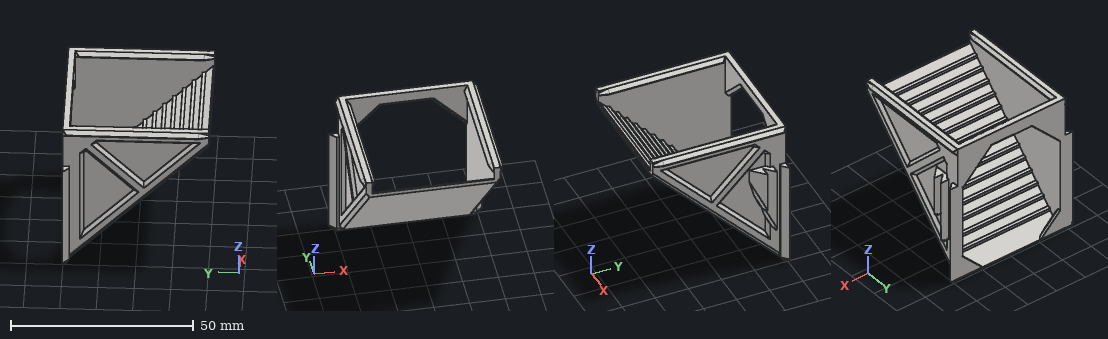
import cadquery as cq
import math


body_half_width = 18.8
wall_thickness = 1.8
inner_half_width = body_half_width - wall_thickness
depth = 40.18
height = 45.5
front_height = 5.06
back_thickness = 1.9
tip_setback = 1.0
tip_chamfer_drop = 0.8
slope_edge_chamfer = 1.0
bevel_angle = 45
overshoot = 2.0

slope = (height - front_height) / (depth - tip_setback)
slope_angle = math.atan(slope)
floor_thickness = 1.06
lip_depth = 3.9

rib_count = 13
rib_pitch = 2.695
rib_front = depth - 2.41
rib_width = 0.99
rib_tilt = math.radians(10.7)

ridge_height = 1.1
ridge_tip_height = 0.43
ridge_taper_length = 2.88

fin_half_width = 21.48
fin_top = 12.6
fin_bevel_start = 44.05
fin_ridge_half_width = 19.3

window_top = 3.05
window_top_half_width = 7.45
window_bottom_half_width = 13.1
window_bevel = 1.0

pocket_depth = 1.0
pocket_top = 3.36
pocket_back = 4.8
pocket_corner_sum = 12.75
pocket_slope_margin = 2.87
strut_upper_offset = -2.98
strut_lower_offset = -0.08

tooth_tip = 21.63
tooth_root = body_half_width - pocket_depth
tooth_backs = (3.9, 6.83)
tooth_bottoms = (33.1, 25.85)
tooth_tip_rise = 1.05
tooth_front_normal = (0.35, -0.9, -0.25)
tooth_bottom_normal = (0, -0.58, -0.81)
tooth_nose_x = 19.4
tooth_nose_setback = 0.7
tooth_nose_rise = 0.5
tooth_nose_normal = (0.04, -0.915, -0.4)


def slope_depth(front):
    """Depth of the underside of the floor at a distance in front of the back."""
    return front_height + slope * (depth - front)


def floor_depth(front):
    """Depth of the upper face of the floor."""
    return slope_depth(front) - floor_thickness / math.cos(slope_angle)


def side_prism(points, x_start, x_end):
    """Prism along X from a (distance in front of the back, depth) outline."""
    outline = [(-front, -down) for front, down in points]
    return cq.Workplane("YZ", origin=(x_start, 0, 0)).polyline(outline).close().extrude(x_end - x_start)


def plan_prism(points, top, bottom):
    """Upright prism from an (x, y) outline between two depths."""
    return cq.Workplane("XY", origin=(0, 0, -bottom)).polyline(points).close().extrude(bottom - top)


def trim(solid, point, normal):
    """Remove what lies beyond a plane on the side its normal points to."""
    reach = 2 * height
    plane = cq.Plane(origin=point, normal=normal)
    return solid.cut(cq.Workplane(plane).rect(2 * reach, 2 * reach).extrude(reach))


def cross(a, b):
    """Cross product of two vectors."""
    return (
        a[1] * b[2] - a[2] * b[1],
        a[2] * b[0] - a[0] * b[2],
        a[0] * b[1] - a[1] * b[0],
    )


def make_body():
    """Solid wedge with both edges of its sloping underside chamfered."""
    outline = [
        (0, 0),
        (depth, 0),
        (depth, front_height),
        (tip_setback, height),
        (0, height - tip_chamfer_drop),
    ]
    body = side_prism(outline, -body_half_width, body_half_width)
    for side in (-1, 1):
        edge_middle = (
            side * body_half_width,
            -(depth + tip_setback) / 2,
            -(front_height + height) / 2,
        )
        body = body.edges(cq.selectors.NearestToPointSelector(edge_middle)).chamfer(slope_edge_chamfer)
    return body


def make_back_plate():
    """Plate behind the body whose beveled edges stand out as fins and whose lower end tapers."""
    bevel_foot = fin_half_width - back_thickness
    outline = [
        (-fin_half_width, 0),
        (fin_half_width, 0),
        (bevel_foot, -back_thickness),
        (-bevel_foot, -back_thickness),
    ]
    plate = plan_prism(outline, fin_top, height)
    taper = height - fin_bevel_start
    plate = trim(
        plate,
        (0, -back_thickness, -fin_bevel_start),
        (0, -taper, -(back_thickness - tip_setback)),
    )
    plate = trim(plate, (0, -tip_setback, -height), (0, tip_chamfer_drop, -tip_setback))
    for side in (-1, 1):
        along_bevel = (side * back_thickness, back_thickness, 0)
        toward_tip = (
            side * (fin_ridge_half_width - bevel_foot),
            back_thickness - tip_setback,
            -taper,
        )
        normal = tuple(-side * part for part in cross(along_bevel, toward_tip))
        plate = trim(plate, (side * fin_half_width, 0, -fin_bevel_start), normal)
    return plate


def cavity():
    """Space inside the walls and above the floor, open at the top and over the front lip."""
    lip_front = depth - (lip_depth - floor_depth(depth)) / slope
    outline = [
        (back_thickness, -overshoot),
        (back_thickness, floor_depth(back_thickness)),
        (lip_front, lip_depth),
        (depth + overshoot, lip_depth),
        (depth + overshoot, -overshoot),
    ]
    return side_prism(outline, -inner_half_width, inner_half_width)


def window():
    """Opening in the back with a beveled inner rim, limited to the space above the floor."""
    side = inner_half_width + back_thickness
    shoulder = window_top + side - window_top_half_width
    bottom = height + overshoot
    floor_line = floor_depth(back_thickness)
    lower_shoulder = floor_line - (side - window_bottom_half_width)
    bottom_half_width = window_bottom_half_width - (bottom - floor_line)
    right_side = [
        (window_top_half_width, -window_top),
        (side, -shoulder),
        (side, -lower_shoulder),
        (bottom_half_width, -bottom),
    ]
    left_side = [(-x, z) for x, z in reversed(right_side)]
    plane = cq.Plane(origin=(0, -back_thickness, 0), xDir=(-1, 0, 0), normal=(0, 1, 0))
    opening = cq.Workplane(plane).polyline(right_side + left_side).close()
    opening = opening.extrude(window_bevel, taper=bevel_angle)
    opening = opening.faces(">Y").wires().toPending().extrude(back_thickness - window_bevel)
    passage = side_prism(
        [(0, 0), (back_thickness, 0), (back_thickness, floor_line), (0, floor_depth(0))],
        -inner_half_width,
        inner_half_width,
    )
    return opening.intersect(passage)


def rib(front):
    """Rib with a gently tilted top and an upright back, rising from the floor."""
    back = front - rib_width
    outline = [
        (front, floor_depth(front)),
        (back, floor_depth(front) + rib_width * math.tan(rib_tilt)),
        (back, floor_depth(back)),
    ]
    return side_prism(outline, -inner_half_width, inner_half_width)


def ridge(wall_x, outward, start):
    """Ridge on one face of a side wall, mitred at the back and tapered at the front."""
    taper_start = depth - ridge_taper_length

    def section(front, size):
        corners = [(0, size), (size, 0), (0, -size)]
        return cq.Wire.makePolygon(
            [cq.Vector(wall_x + outward * x, -front, z - ridge_height) for x, z in corners],
            close=True,
        )

    bar = cq.Solid.makeLoft([section(start, ridge_height), section(taper_start, ridge_height)], True)
    tip = cq.Solid.makeLoft([section(taper_start, ridge_height), section(depth, ridge_tip_height)], True)
    bar = trim(cq.Workplane(bar), (wall_x, -start, 0), (outward, 1, 0))
    return bar.union(cq.Workplane(tip))


def pocket_outlines():
    """Outlines of the two pockets that leave a diagonal strut between them."""
    rise = pocket_slope_margin / math.cos(slope_angle)
    slope_at_back = slope_depth(0) - rise

    def strut_corner(offset):
        front = (pocket_corner_sum - offset) / 2
        return (front, front + offset)

    def strut_foot(offset):
        front = (slope_at_back - offset) / (1 + slope)
        return (front, front + offset)

    upper = [
        (pocket_corner_sum - pocket_top, pocket_top),
        strut_corner(strut_upper_offset),
        strut_foot(strut_upper_offset),
        ((slope_at_back - pocket_top) / slope, pocket_top),
    ]
    lower = [
        strut_corner(strut_lower_offset),
        (pocket_back, pocket_corner_sum - pocket_back),
        (pocket_back, slope_at_back - slope * pocket_back),
        strut_foot(strut_lower_offset),
    ]
    return upper, lower


def pocket(outline):
    """Pocket with beveled sides in the -X wall."""
    points = [(-front, -down) for front, down in outline]
    plane = cq.Workplane("YZ", origin=(-body_half_width, 0, 0))
    return plane.polyline(points).close().extrude(pocket_depth, taper=bevel_angle)


def tooth(back, bottom):
    """Upright wedge with a flat back whose lower end is cut by three slanting planes."""
    reach = tooth_tip - tooth_root
    outline = [(tooth_root, -back), (tooth_tip, -back), (tooth_root, -back - reach)]
    wedge = plan_prism(outline, fin_top, bottom)
    wedge = trim(wedge, (tooth_tip, -back, -bottom + tooth_tip_rise), tooth_front_normal)
    wedge = trim(wedge, (tooth_tip, -back, -bottom), tooth_bottom_normal)
    nose = (tooth_nose_x, -back - tooth_nose_setback, -bottom + tooth_nose_rise)
    return trim(wedge, nose, tooth_nose_normal)


result = make_body().union(make_back_plate())
result = result.cut(cavity()).cut(window())
for index in range(rib_count):
    result = result.union(rib(rib_front - index * rib_pitch))
for side in (-1, 1):
    result = result.union(ridge(side * body_half_width, side, 0))
    result = result.union(ridge(side * inner_half_width, -side, back_thickness))
for outline in pocket_outlines():
    left_pocket = pocket(outline)
    result = result.cut(left_pocket).cut(left_pocket.mirror("YZ"))
for back, bottom in zip(tooth_backs, tooth_bottoms):
    result = result.union(tooth(back, bottom))